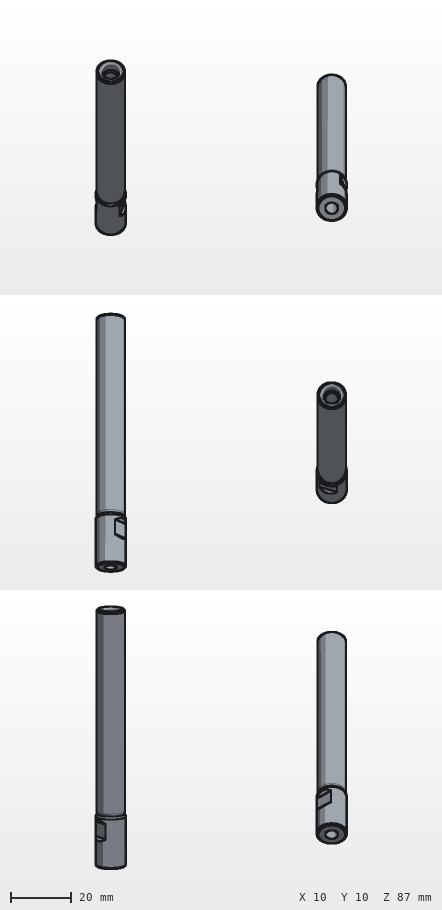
import cadquery as cq

LENGTH = 87.0
BODY_DIAMETER = 10.0
SHAFT_DIAMETER = 9.5
GROOVE_DIAMETER = 9.1

BOTTOM_CHAMFER = 0.5
BODY_CHAMFER_START = 16.9
BODY_TOP = 17.75
SHAFT_CHAMFER_START = 18.0
SHAFT_BOTTOM = 18.6
TOP_CHAMFER_WIDTH = 0.5
TOP_CHAMFER_HEIGHT = 0.6

BORE_DIAMETER = 4.2
COUNTERBORE_DIAMETER = 5.5
COUNTERBORE_DEPTH = 3.1
SEAT_DEPTH = 0.4
MOUTH_FILLET = 0.9

ACROSS_FLATS = 8.0
FLAT_BOTTOM = 10.1
FLAT_TOP = 15.1


def make_outside():
    """Revolved body, groove and shaft about the Z axis."""
    body_radius = BODY_DIAMETER / 2
    shaft_radius = SHAFT_DIAMETER / 2
    groove_radius = GROOVE_DIAMETER / 2
    profile = [
        (0, 0),
        (body_radius - BOTTOM_CHAMFER, 0),
        (body_radius, BOTTOM_CHAMFER),
        (body_radius, BODY_CHAMFER_START),
        (groove_radius, BODY_TOP),
        (groove_radius, SHAFT_CHAMFER_START),
        (shaft_radius, SHAFT_BOTTOM),
        (shaft_radius, LENGTH - TOP_CHAMFER_HEIGHT),
        (shaft_radius - TOP_CHAMFER_WIDTH, LENGTH),
        (0, LENGTH),
    ]
    return cq.Workplane("XZ").polyline(profile).close().revolve(360, (0, 0), (0, 1))


def make_bore():
    """Through bore with a conical seat and a counterbore at the top end."""
    bore_radius = BORE_DIAMETER / 2
    counterbore_radius = COUNTERBORE_DIAMETER / 2
    counterbore_floor = LENGTH - COUNTERBORE_DEPTH
    profile = [
        (0, 0),
        (bore_radius, 0),
        (bore_radius, counterbore_floor - SEAT_DEPTH),
        (counterbore_radius, counterbore_floor),
        (counterbore_radius, LENGTH),
        (0, LENGTH),
    ]
    return cq.Workplane("XZ").polyline(profile).close().revolve(360, (0, 0), (0, 1))


def make_flat_cutter(side):
    """Notch with 45 degree ends; side is +1 or -1 along X."""
    floor = ACROSS_FLATS / 2
    outer = BODY_DIAMETER / 2
    flare = outer - floor
    profile = [
        (side * floor, FLAT_BOTTOM),
        (side * outer, FLAT_BOTTOM - flare),
        (side * outer, FLAT_TOP + flare),
        (side * floor, FLAT_TOP),
    ]
    return cq.Workplane("XZ").polyline(profile).close().extrude(outer, both=True)


result = make_outside().cut(make_bore())
result = result.faces(">Z").edges(cq.selectors.RadiusNthSelector(0)).fillet(MOUTH_FILLET)
for flat_side in (-1, 1):
    result = result.cut(make_flat_cutter(flat_side))